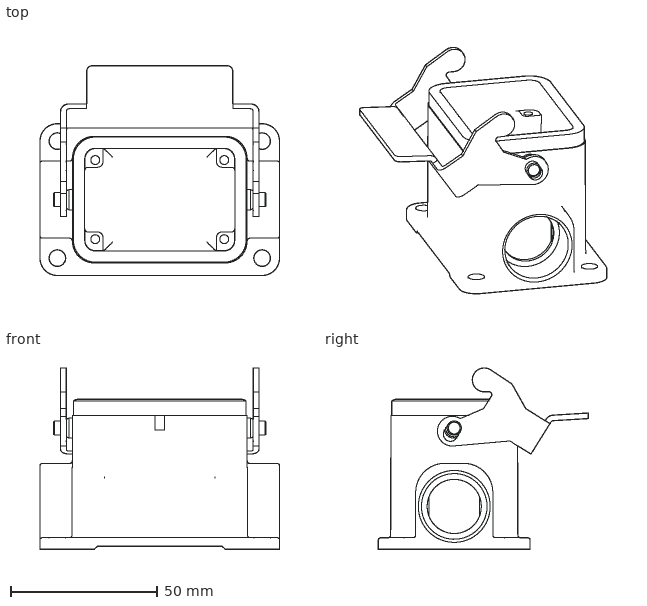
import cadquery as cq
import math

QUADRANTS = [(-1, -1), (-1, 1), (1, -1), (1, 1)]

flange_length = 82.0
flange_width = 52.0
flange_height = 4.0
flange_corner = 6.0
edge_fillet = 0.9
mount_hole_diameter = 5.6
mount_hole_x = 35.0
mount_hole_y = 20.0
underside_relief_depth = 1.0
underside_relief_half_length = 22.4

box_length = 60.0
box_width = 43.6
box_corner = 7.6
box_draft = 0.2
root_fillet = 0.8
collar_base_z = 45.8
collar_length = 59.0
collar_width = 42.8
collar_corner = 7.5
rim_edge_z = 50.75
rim_crown = 0.65
wall = 3.85
notch_width = 3.2
notch_height = 5.0
notch_depth = 0.8

floor_z = 15.2
cavity_draft = 1.0
cavity_length = collar_length - 2 * wall
cavity_width = collar_width - 2 * wall
cavity_corner = collar_corner - wall
floor_fillet = 3.0
end_wall_fillet = 1.0
post_top_z = 39.9
post_inner_x = 19.4
post_inner_y = 11.1
post_corner = 1.9
post_draft = 2.0
screw_hole_x = 22.05
screw_hole_y = 13.5
screw_hole_diameter = 3.0
screw_hole_depth = 9.8
drill_point_angle = 118.0

boss_half_width = 13.2
boss_top_z = 29.4
boss_corner = 10.0
entry_z = 14.7
entry_diameter = 22.5
entry_mouth_diameter = 24.6
entry_shoulder_x = 28.1
knockout_diameter = 18.5
knockout_depth = 1.2
knockout_flat_half_width = 8.7
knockout_flat_depth = 0.25

pin_z = 41.5
pin_diameter = 4.8
pin_chamfer = 0.4
pin_tip_x = 36.4
pin_collar_diameter = 7.0
pin_collar_end_x = 32.0
pin_collar_cone = 1.0
pin_collar_step = 0.5

lever_half_width = 33.95
sheet = 2.0
bend_radius = 1.0
back_angle = 58.0
back_height = 12.3
back_bottom = (26.2, 32.55)
shoulder_reach = 9.75
heel_reach = 8.5
neck_corner = (19.8, 56.6)
head_center = (10.25, 58.0)
head_radius = 4.1
hook_corner = (13.6, head_center[1] - head_radius)
hook_fillet = 1.0
throat_corner = (10.0, 48.1)
eye_center = (-0.65, 40.4)
eye_radius = 5.1
eye_join_angle = 58.0
handle_length = 50.0
handle_tip_y = 45.8
handle_angle = 3.5
handle_corner = 2.0
handle_bend_inner = 1.0
handle_bend_rise = 2.1


def mirrored_x(solid):
    """Return the solid together with its mirror image across the YZ plane."""
    return solid.union(solid.mirror("YZ"))


def rounded_block(length, width, corner, z_bottom, z_top, draft=0.0):
    """Block with rounded vertical corners that narrows upwards by the draft angle."""
    outline = cq.Sketch().rect(length, width).vertices().fillet(corner)
    return cq.Workplane("XY").workplane(offset=z_bottom).placeSketch(outline).extrude(z_top - z_bottom, taper=draft)


def make_boss():
    """Solid cable entry boss on the +X end, flush with the end of the flange."""
    half_length = flange_length / 2
    boss = (
        cq.Workplane("YZ")
        .rect(2 * boss_half_width, 2 * boss_top_z)
        .extrude(half_length)
        .edges("|X and >Z")
        .fillet(boss_corner)
    )
    above_base = cq.Workplane("XY").box(flange_length * 2, flange_width, boss_top_z, centered=(True, True, False))
    return boss.intersect(above_base)


def make_entry_bore():
    """Entry bore on the +X end: chamfered mouth, bore, and knockout recess with two flats."""
    end_x = flange_length / 2
    mouth_depth = (entry_mouth_diameter - entry_diameter) / 2
    recess_x = entry_shoulder_x - knockout_depth
    mouth = [
        (recess_x, 0),
        (recess_x, knockout_diameter / 2),
        (entry_shoulder_x, knockout_diameter / 2),
        (entry_shoulder_x, entry_diameter / 2),
        (end_x - mouth_depth, entry_diameter / 2),
        (end_x, entry_mouth_diameter / 2),
        (end_x, 0),
    ]
    bore = cq.Workplane("XY").polyline(mouth).close().revolve(360, (0, 0, 0), (1, 0, 0))
    flat_recess = (
        cq.Workplane("YZ", origin=(recess_x - knockout_flat_depth, 0, 0))
        .circle(knockout_diameter / 2)
        .extrude(knockout_flat_depth)
    )
    flat_band = cq.Workplane("XY").box(flange_length, 2 * knockout_flat_half_width, knockout_diameter)
    return bore.union(flat_recess.intersect(flat_band)).translate((0, 0, entry_z))


def make_rim_crown():
    """Shallow arched bead that rounds the top of the collar wall."""
    path = (
        cq.Workplane("XY", origin=(0, 0, rim_edge_z))
        .rect(collar_length - wall, collar_width - wall)
        .extrude(0.8)
        .edges("|Z")
        .fillet(collar_corner - wall / 2)
        .faces("<Z")
        .wires()
    )
    start_x = (collar_length - wall) / 2
    return (
        cq.Workplane("XZ")
        .moveTo(start_x - wall / 2, rim_edge_z)
        .threePointArc((start_x, rim_edge_z + rim_crown), (start_x + wall / 2, rim_edge_z))
        .close()
        .sweep(path)
    )


def make_posts():
    """Four tapered corner columns that fill the cavity corners below the post tops."""
    size_x = collar_length / 2 - post_inner_x
    size_y = collar_width / 2 - post_inner_y
    post = (
        cq.Sketch()
        .push([(sx * (post_inner_x + size_x / 2), sy * (post_inner_y + size_y / 2)) for sx, sy in QUADRANTS])
        .rect(size_x, size_y)
        .reset()
        .vertices()
        .fillet(post_corner)
    )
    return (
        cq.Workplane("XY", origin=(0, 0, post_top_z))
        .placeSketch(post)
        .extrude(floor_z - post_top_z, taper=-post_draft)
    )


def make_screw_holes():
    """Blind holes with drill points, sunk into the post tops."""
    radius = screw_hole_diameter / 2
    point_z = post_top_z - screw_hole_depth - radius / math.tan(math.radians(drill_point_angle / 2))
    half_profile = [
        (0, post_top_z),
        (radius, post_top_z),
        (radius, post_top_z - screw_hole_depth),
        (0, point_z),
    ]
    hole = cq.Workplane("XZ").polyline(half_profile).close().revolve(360, (0, 0, 0), (0, 1, 0)).val()
    places = [(sx * screw_hole_x, sy * screw_hole_y) for sx, sy in QUADRANTS]
    return cq.Workplane("XY").pushPoints(places).eachpoint(lambda place: hole.moved(place))


def make_cavity():
    """Interior of the box: straight through the collar, drafted below it, with the posts left standing."""
    upper = rounded_block(cavity_length, cavity_width, cavity_corner, collar_base_z, rim_edge_z + rim_crown)
    outline = cq.Sketch().rect(cavity_length, cavity_width).vertices().fillet(cavity_corner)
    lower = (
        cq.Workplane("XY", origin=(0, 0, collar_base_z))
        .placeSketch(outline)
        .extrude(floor_z - collar_base_z, taper=cavity_draft)
        .cut(make_posts())
    )
    lower = lower.faces("<Z").edges("not(<X or >X)").fillet(floor_fillet)
    lower = lower.faces("<Z").edges("<X or >X").fillet(end_wall_fillet)
    return upper.union(lower)


def make_pin():
    """Pivot pin on the +X end wall: a chamfered collar and a chamfered round shank."""
    collar_radius = pin_collar_diameter / 2
    pin_radius = pin_diameter / 2
    root_x = collar_length / 2 - wall / 2
    cone_x = pin_collar_end_x - pin_collar_cone
    half_profile = [
        (root_x, 0),
        (root_x, collar_radius),
        (cone_x, collar_radius),
        (pin_collar_end_x, collar_radius - pin_collar_step),
        (pin_collar_end_x, pin_radius),
        (pin_tip_x - pin_chamfer, pin_radius),
        (pin_tip_x, pin_radius - pin_chamfer),
        (pin_tip_x, 0),
    ]
    pin = cq.Workplane("XY").polyline(half_profile).close().revolve(360, (0, 0, 0), (1, 0, 0))
    return pin.translate((0, 0, pin_z))


def fillet_roots(body):
    """Fillet where the walls rise from the flange and the bosses meet the box, then the outer edges."""
    margin = 0.25
    level = cq.selectors.BoxSelector(
        (-flange_length, -box_width / 2 - margin, flange_height - margin),
        (flange_length, box_width / 2 + margin, flange_height + margin),
        boundingbox=True,
    )
    roots = level - cq.StringSyntaxSelector("<X or >X")
    for side in (-1, 1):
        roots = roots + cq.selectors.BoxSelector(
            (side * box_length / 2 - margin, -boss_half_width - margin, flange_height - margin),
            (side * box_length / 2 + margin, boss_half_width + margin, boss_top_z + margin),
            boundingbox=True,
        )
    body = body.edges(roots).fillet(root_fillet)
    rim_edges = body.faces("<X or >X").edges("not <Z").edges("not(<Y or >Y)")
    return rim_edges.fillet(edge_fillet)


def make_housing():
    box = rounded_block(box_length, box_width, box_corner, flange_height, collar_base_z, box_draft)
    flange = rounded_block(flange_length, flange_width, flange_corner, 0, flange_height)
    body = flange.union(box).union(mirrored_x(make_boss()))
    body = fillet_roots(body)
    body = body.union(rounded_block(collar_length, collar_width, collar_corner, collar_base_z, rim_edge_z))
    body = body.union(make_rim_crown()).cut(make_cavity())
    body = body.union(mirrored_x(make_pin()))
    body = body.cut(mirrored_x(make_entry_bore())).cut(make_screw_holes())

    mount_places = [(sx * mount_hole_x, sy * mount_hole_y) for sx, sy in QUADRANTS]
    mount_holes = cq.Workplane("XY").pushPoints(mount_places).circle(mount_hole_diameter / 2).extrude(flange_height)

    relief_top = underside_relief_half_length - underside_relief_depth
    relief_outline = [
        (-underside_relief_half_length, 0),
        (-relief_top, underside_relief_depth),
        (relief_top, underside_relief_depth),
        (underside_relief_half_length, 0),
    ]
    relief = cq.Workplane("XZ").polyline(relief_outline).close().extrude(flange_width / 2, both=True)

    notch = cq.Workplane("XY").box(notch_width, 2 * notch_depth, notch_height).translate(
        (0, -collar_width / 2, collar_base_z - notch_height / 2)
    )
    return body.cut(mount_holes).cut(relief).cut(notch)


def tangent_point(point, center, radius, side):
    """Point where a line from the given point touches a circle; side +1 or -1 picks the tangent."""
    dy = point[0] - center[0]
    dz = point[1] - center[1]
    angle = math.atan2(dz, dy) + side * math.acos(radius / math.hypot(dy, dz))
    return on_circle(center, radius, math.degrees(angle))


def on_circle(center, radius, angle):
    return (
        center[0] + radius * math.cos(math.radians(angle)),
        center[1] + radius * math.sin(math.radians(angle)),
    )


back_up = (math.cos(math.radians(back_angle)), math.sin(math.radians(back_angle)))
back_out = (back_up[1], -back_up[0])
back_top = (back_bottom[0] + back_height * back_up[0], back_bottom[1] + back_height * back_up[1])


def forward_of(point, distance):
    """Point moved away from the rear face of the back plate, into the lever."""
    return (point[0] - distance * back_out[0], point[1] - distance * back_out[1])


def make_lever_outline():
    """Side outline of the lever, extruded over its full width."""
    heel = forward_of(back_bottom, heel_reach)
    shoulder = forward_of(back_top, shoulder_reach)
    head_start = tangent_point(neck_corner, head_center, head_radius, 1)
    head_end = (head_center[0], head_center[1] - head_radius)
    eye_start = on_circle(eye_center, eye_radius, eye_join_angle)
    eye_end = tangent_point(heel, eye_center, eye_radius, -1)
    outline = (
        cq.Workplane("YZ")
        .moveTo(*back_bottom)
        .lineTo(*back_top)
        .lineTo(*shoulder)
        .lineTo(*neck_corner)
        .lineTo(*head_start)
        .threePointArc(on_circle(head_center, head_radius, 180.0), head_end)
        .lineTo(*hook_corner)
        .lineTo(*throat_corner)
        .lineTo(*eye_start)
        .threePointArc((eye_center[0] - eye_radius, eye_center[1]), eye_end)
        .lineTo(*heel)
        .close()
        .extrude(lever_half_width, both=True)
    )
    hook_edge = cq.selectors.NearestToPointSelector((0, *hook_corner))
    return outline.edges("|X").edges(hook_edge).fillet(hook_fillet)


def make_lever_frame():
    """U-shaped sheet: two side plates joined by the back plate, with round bends."""
    rear_plane = cq.Plane(origin=(0, *back_bottom), xDir=(1, 0, 0), normal=(0, *back_up))
    reach = 82.0
    inner_half_width = lever_half_width - sheet

    def bend_block(half_width, front_gap, radius):
        """Block in front of the back plate with rounded rear corners along the bends."""
        block = (
            cq.Workplane(rear_plane)
            .center(0, -reach / 2 - front_gap)
            .rect(2 * half_width, reach)
            .extrude(reach, both=True)
        )
        return block.faces(cq.selectors.DirectionMinMaxSelector(cq.Vector(0, *back_out), True)).edges(
            cq.selectors.ParallelDirSelector(cq.Vector(0, *back_up))
        ).fillet(radius)

    frame = make_lever_outline().intersect(bend_block(lever_half_width, 0, bend_radius + sheet))
    return frame.cut(bend_block(inner_half_width, sheet, bend_radius))


def make_handle():
    """Flat handle bent outwards from the top of the back plate."""
    slope = math.tan(math.radians(handle_angle))
    corner_top = forward_of(back_top, sheet)
    bend_top = (corner_top[0] + handle_bend_rise * back_up[0], corner_top[1] + handle_bend_rise * back_up[1])
    tip_top = (handle_tip_y, bend_top[1] + (handle_tip_y - bend_top[0]) * slope)
    handle_drop = sheet / math.cos(math.radians(handle_angle))
    tip_bottom = (handle_tip_y, tip_top[1] - handle_drop)
    along = (bend_top[1] - handle_drop - back_top[1] + (back_top[0] - bend_top[0]) * slope) / (
        back_up[1] - back_up[0] * slope
    )
    bend_bottom = (back_top[0] + along * back_up[0], back_top[1] + along * back_up[1])
    handle = (
        cq.Workplane("YZ")
        .polyline([back_top, corner_top, bend_top, tip_top, tip_bottom, bend_bottom])
        .close()
        .extrude(handle_length / 2, both=True)
    )
    handle = handle.edges("|X").edges(cq.selectors.NearestToPointSelector((0, *bend_top))).fillet(
        handle_bend_inner + sheet
    )
    handle = handle.edges("|X").edges(cq.selectors.NearestToPointSelector((0, *bend_bottom))).fillet(handle_bend_inner)
    return handle.faces(">Y").edges("not |X").fillet(handle_corner)


def make_lever():
    slot_drop = (2 * (eye_center[0]), 2 * (eye_center[1] - pin_z))
    slot_angle = math.degrees(math.atan2(slot_drop[1], slot_drop[0]))
    slots = (
        cq.Workplane("YZ")
        .center(*eye_center)
        .transformed(rotate=(0, 0, slot_angle))
        .slot2D(math.hypot(*slot_drop) + pin_diameter, pin_diameter)
        .extrude(lever_half_width, both=True)
    )
    return make_lever_frame().union(make_handle()).cut(slots)


housing = make_housing()
lever = make_lever()
result = cq.Compound.makeCompound([housing.val(), lever.val()])